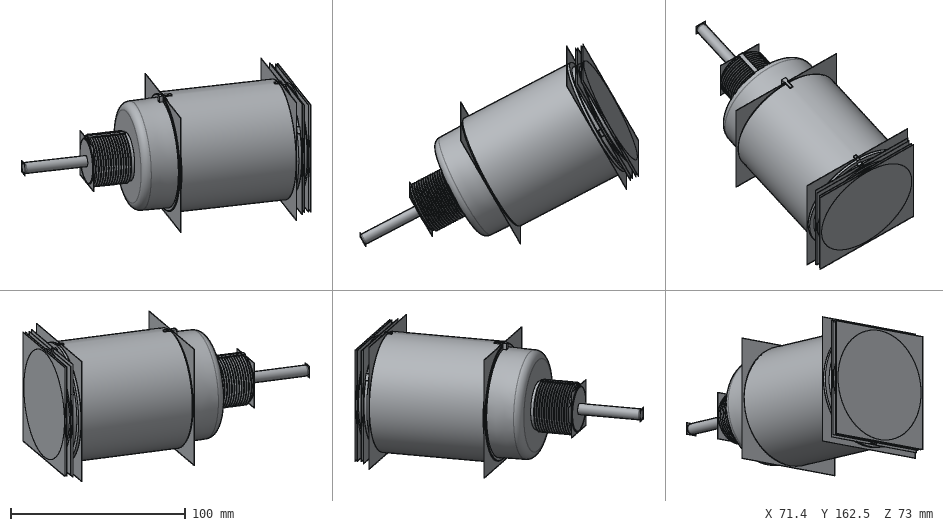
import cadquery as cq
import math


TOTAL_LENGTH = 162.5

RIM_RADIUS = 32.0
GROOVE_RADIUS = 30.5
GROOVE_START = 1.5
GROOVE_END = 3.7
LAND_END = 5.0

SLEEVE_RADIUS = 35.0
SLEEVE_START = 7.8
SLEEVE_END = 79.2
SLEEVE_CHAMFER = 1.3

NOSE_FRONT_RADIUS = 31.7
NOSE_END = 100.0
NOSE_FILLET = 4.7

THREAD_ROOT_RADIUS = 14.1
THREAD_CREST_RADIUS = 15.3
THREAD_PITCH = 1.5
THREAD_COUNT = 14
THREAD_CREST_FLAT = 0.3
THREAD_START = 101.8
NECK_END = 124.8
NECK_CHAMFER = 1.3
NECK_BAR_WIDTH = 3.0
NECK_BAR_END = 123.7

LUG_WIDTH = 4.0
LUG_TIP_RADIUS = 33.5
LUG_END = 7.2
LUG_ANGLES = (30, 150, 270)

KEY_WIDTH = 3.0
REAR_KEY_TOP = 33.0
SLEEVE_KEY_TOP = 35.6
FRONT_KEY_END = 81.5
NUB_WIDTH = 2.0
REAR_NUB_END = 11.9
FRONT_NUB_START = 73.8

CABLE_RADIUS = 3.3
CABLE_CHAMFER_LENGTH = 1.1
CABLE_CHAMFER_DEPTH = 0.3

PLATE_THICKNESS = 0.2
SMALL_PLATE_HALF = 33.2
SMALL_PLATE_WIDTH = 65.3
LAND_PLATE_HALF = 34.3
SLEEVE_PLATE_WIDTH = 71.4
REAR_SLEEVE_PLATE_START = 9.3
REAR_SLEEVE_PLATE_HALF = 73.0 / 2
FRONT_PLATE_BOTTOM = -35.6
FRONT_PLATE_TOP = 35.1
FRONT_PLATE_SETBACK = 0.5
NECK_PLATE_HALF = 13.7
CABLE_PLATE_HALF = 3.4
HOUSING_PLATES = (
    (0, 2 * SMALL_PLATE_HALF, -SMALL_PLATE_HALF, SMALL_PLATE_HALF),
    (GROOVE_START - PLATE_THICKNESS, SMALL_PLATE_WIDTH, -SMALL_PLATE_HALF, SMALL_PLATE_HALF),
    (GROOVE_END, SMALL_PLATE_WIDTH, -SMALL_PLATE_HALF, SMALL_PLATE_HALF),
    (LAND_END, SMALL_PLATE_WIDTH, -LAND_PLATE_HALF, LAND_PLATE_HALF),
    (REAR_SLEEVE_PLATE_START, SLEEVE_PLATE_WIDTH, -REAR_SLEEVE_PLATE_HALF, REAR_SLEEVE_PLATE_HALF),
    (SLEEVE_END - FRONT_PLATE_SETBACK, SLEEVE_PLATE_WIDTH, FRONT_PLATE_BOTTOM, FRONT_PLATE_TOP),
    (NECK_END - FRONT_PLATE_SETBACK, 2 * NECK_PLATE_HALF, -NECK_PLATE_HALF, NECK_PLATE_HALF),
)


def block(start, end, width, bottom, top):
    """Box centred on x = 0 between two stations and two heights."""
    box = cq.Workplane("XY").box(width, end - start, top - bottom, centered=(True, False, False))
    return box.translate((0, -end, bottom))


def plate(start, width, bottom, top):
    return block(start, start + PLATE_THICKNESS, width, bottom, top)


def turn(profile):
    """Revolve a closed half profile about the Y axis."""
    return profile.close().revolve(360, (0, 0, 0), (0, 1, 0))


def make_core():
    """Rim, groove, sleeve and nose as one turned shape."""
    fillet_start = NOSE_END - NOSE_FILLET
    fillet_centre_radius = NOSE_FRONT_RADIUS - NOSE_FILLET
    fillet_middle = NOSE_FILLET * math.sqrt(0.5)
    profile = (
        cq.Workplane("XY")
        .lineTo(RIM_RADIUS, 0)
        .lineTo(RIM_RADIUS, -GROOVE_START)
        .lineTo(GROOVE_RADIUS, -GROOVE_START)
        .lineTo(GROOVE_RADIUS, -GROOVE_END)
        .lineTo(RIM_RADIUS, -GROOVE_END)
        .lineTo(RIM_RADIUS, -SLEEVE_START)
        .lineTo(SLEEVE_RADIUS, -SLEEVE_START)
        .lineTo(SLEEVE_RADIUS, -(SLEEVE_END - SLEEVE_CHAMFER))
        .lineTo(SLEEVE_RADIUS - SLEEVE_CHAMFER, -SLEEVE_END)
        .lineTo(RIM_RADIUS, -SLEEVE_END)
        .lineTo(NOSE_FRONT_RADIUS, -fillet_start)
        .threePointArc(
            (fillet_centre_radius + fillet_middle, -(fillet_start + fillet_middle)),
            (fillet_centre_radius, -NOSE_END),
        )
        .lineTo(0, -NOSE_END)
    )
    return turn(profile)


def make_neck():
    """Threaded neck; the thread is a row of equal V-shaped rings."""
    profile = (
        cq.Workplane("XY")
        .moveTo(0, -NOSE_END)
        .lineTo(THREAD_ROOT_RADIUS, -NOSE_END)
        .lineTo(THREAD_ROOT_RADIUS, -THREAD_START)
    )
    for index in range(THREAD_COUNT):
        ring_start = THREAD_START + index * THREAD_PITCH
        crest = ring_start + THREAD_PITCH / 2
        profile = (
            profile
            .lineTo(THREAD_CREST_RADIUS, -(crest - THREAD_CREST_FLAT / 2))
            .lineTo(THREAD_CREST_RADIUS, -(crest + THREAD_CREST_FLAT / 2))
            .lineTo(THREAD_ROOT_RADIUS, -(ring_start + THREAD_PITCH))
        )
    profile = (
        profile
        .lineTo(THREAD_ROOT_RADIUS, -(NECK_END - NECK_CHAMFER))
        .lineTo(THREAD_ROOT_RADIUS - NECK_CHAMFER, -NECK_END)
        .lineTo(0, -NECK_END)
    )
    bar = block(THREAD_START, NECK_BAR_END, NECK_BAR_WIDTH, 0, THREAD_CREST_RADIUS)
    return turn(profile).union(bar)


def make_lug(angle):
    """Small block on the land; the angle is measured from +X toward +Z."""
    lug = block(LAND_END, LUG_END, LUG_WIDTH, GROOVE_RADIUS, LUG_TIP_RADIUS)
    return lug.rotate((0, 0, 0), (0, 1, 0), 90 - angle)


def make_keys():
    """Keys and nubs along the top, at both ends of the sleeve."""
    return [
        block(LAND_END, SLEEVE_START, KEY_WIDTH, GROOVE_RADIUS, REAR_KEY_TOP),
        block(SLEEVE_START, REAR_NUB_END, NUB_WIDTH, GROOVE_RADIUS, SLEEVE_KEY_TOP),
        block(FRONT_NUB_START, SLEEVE_END, NUB_WIDTH, GROOVE_RADIUS, SLEEVE_KEY_TOP),
        block(SLEEVE_END, FRONT_KEY_END, KEY_WIDTH, GROOVE_RADIUS, SLEEVE_KEY_TOP),
    ]


def make_housing():
    body = make_core().union(make_neck())
    for angle in LUG_ANGLES:
        body = body.union(make_lug(angle))
    for key in make_keys():
        body = body.union(key)
    for start, width, bottom, top in HOUSING_PLATES:
        body = body.union(plate(start, width, bottom, top))
    return body


def make_cable():
    """Round cable that starts at the end face of the neck."""
    profile = (
        cq.Workplane("XY")
        .moveTo(0, -NECK_END)
        .lineTo(CABLE_RADIUS, -NECK_END)
        .lineTo(CABLE_RADIUS, -(TOTAL_LENGTH - CABLE_CHAMFER_LENGTH))
        .lineTo(CABLE_RADIUS - CABLE_CHAMFER_DEPTH, -TOTAL_LENGTH)
        .lineTo(0, -TOTAL_LENGTH)
    )
    end_plate = plate(
        TOTAL_LENGTH - PLATE_THICKNESS, 2 * CABLE_PLATE_HALF, -CABLE_PLATE_HALF, CABLE_PLATE_HALF
    )
    return turn(profile).union(end_plate)


housing = make_housing()
cable = make_cable()

result = cq.Compound.makeCompound([housing.solids().val(), cable.solids().val()])